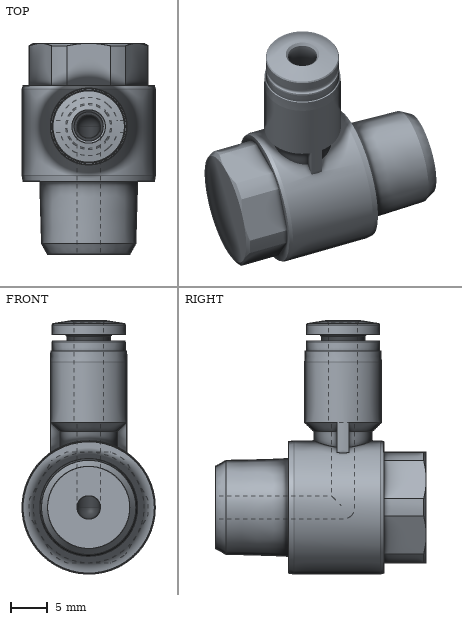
import cadquery as cq
import math


HEX_BACK = 11.35
COLLAR_BACK = 5.57
COLLAR_FRONT = -7.47
STEM_FRONT = -17.45

COLLAR_RADIUS = 18.2 / 2
COLLAR_FACE_RADIUS = COLLAR_RADIUS - 0.15
COLLAR_BACK_BEVEL = 0.5
COLLAR_FRONT_BEVEL = 0.8

STEM_ROOT_RADIUS = 6.68
STEM_TIP_RADIUS = 6.45
STEM_FACE_RADIUS = 5.6
STEM_BEVEL_LENGTH = 1.5

HEX_ACROSS_FLATS = 15.12
HEX_CORNER_RADIUS = 8.13
HEX_BEVEL_LENGTH = 0.35
HEX_BACK_RADIUS = HEX_ACROSS_FLATS / 2

NECK_TOP = 10.38
SLEEVE_BOTTOM = 11.6
SLEEVE_BAND = 19.83
SLEEVE_TOP = 21.35
RING_TOP = 22.73
CAP_BOTTOM = 23.6
CAP_EDGE = 24.9
CAP_SHOULDER = 25.1
CAP_TOP = 34.6 - COLLAR_RADIUS

NECK_RADIUS = 3.98
SLEEVE_RADIUS = 10.5 / 2
SLEEVE_BAND_TAPER = 0.07
RING_RADIUS = 10.0 / 2
RING_TOP_RADIUS = 9.9 / 2
RING_BEVEL_LENGTH = 0.2
CAP_RADIUS = 10.0 / 2
CAP_SHOULDER_RADIUS = 4.88
RELEASE_NECK_RADIUS = 5.95 / 2
RELEASE_NECK_FLARE = 0.17
RELEASE_NECK_FLARE_LENGTH = 0.28

RIB_THICKNESS = 1.6

FLOW_RADIUS = 3.2 / 2
TUBE_RADIUS = 3.98 / 2
TUBE_MOUTH_RADIUS = 4.55 / 2
TUBE_MOUTH_DEPTH = 0.35
TUBE_STOP = SLEEVE_BOTTOM


def turned(profile, axis):
    """Revolve (radius, height) points about the Y or Z axis, closing the outline on that axis."""
    outline = [(0, profile[0][1])] + profile + [(0, profile[-1][1])]
    plane = "XY" if axis == "Y" else "XZ"
    return cq.Workplane(plane).polyline(outline).close().revolve(360, (0, 0), (0, 1))


def make_collar_and_stem():
    return turned([
        (STEM_FACE_RADIUS, STEM_FRONT),
        (STEM_TIP_RADIUS, STEM_FRONT + STEM_BEVEL_LENGTH),
        (STEM_ROOT_RADIUS, COLLAR_FRONT),
        (COLLAR_FACE_RADIUS, COLLAR_FRONT),
        (COLLAR_RADIUS, COLLAR_FRONT + COLLAR_FRONT_BEVEL),
        (COLLAR_RADIUS, COLLAR_BACK - COLLAR_BACK_BEVEL),
        (COLLAR_FACE_RADIUS, COLLAR_BACK),
    ], "Y")


def make_hexagon():
    across_corners = HEX_ACROSS_FLATS / math.cos(math.radians(30))
    prism = (
        cq.Workplane("XZ", origin=(0, HEX_BACK, 0))
        .polygon(6, across_corners)
        .extrude(HEX_BACK - COLLAR_BACK)
    )
    corner_limit = turned([
        (HEX_CORNER_RADIUS, COLLAR_BACK),
        (HEX_CORNER_RADIUS, HEX_BACK - HEX_BEVEL_LENGTH),
        (HEX_BACK_RADIUS, HEX_BACK),
    ], "Y")
    return prism.intersect(corner_limit)


def make_tube_socket():
    return turned([
        (NECK_RADIUS, 0),
        (NECK_RADIUS, NECK_TOP),
        (SLEEVE_RADIUS, SLEEVE_BOTTOM),
        (SLEEVE_RADIUS, SLEEVE_BAND),
        (SLEEVE_RADIUS - SLEEVE_BAND_TAPER, SLEEVE_TOP),
        (RING_RADIUS, SLEEVE_TOP),
        (RING_RADIUS, RING_TOP - RING_BEVEL_LENGTH),
        (RING_TOP_RADIUS, RING_TOP),
        (RELEASE_NECK_RADIUS, RING_TOP),
        (RELEASE_NECK_RADIUS, CAP_BOTTOM - RELEASE_NECK_FLARE_LENGTH),
        (RELEASE_NECK_RADIUS + RELEASE_NECK_FLARE, CAP_BOTTOM),
        (CAP_RADIUS, CAP_BOTTOM),
        (CAP_RADIUS, CAP_EDGE),
        (CAP_SHOULDER_RADIUS, CAP_SHOULDER),
        (TUBE_MOUTH_RADIUS, CAP_TOP),
    ], "Z")


def make_ribs():
    """One plate through the neck forms both ribs, flush with the sleeve at their outer edges."""
    plate = (
        cq.Workplane("XY")
        .rect(2 * COLLAR_RADIUS, RIB_THICKNESS)
        .extrude(SLEEVE_BOTTOM)
    )
    sleeve_limit = cq.Workplane("XY").circle(SLEEVE_RADIUS).extrude(SLEEVE_BOTTOM)
    return plate.intersect(sleeve_limit)


def make_passages():
    """Stepped tube bore turning into the stem bore through a spherical elbow."""
    tube_bore = turned([
        (FLOW_RADIUS, 0),
        (FLOW_RADIUS, TUBE_STOP),
        (TUBE_RADIUS, TUBE_STOP),
        (TUBE_RADIUS, CAP_TOP - TUBE_MOUTH_DEPTH),
        (TUBE_MOUTH_RADIUS, CAP_TOP),
    ], "Z")
    stem_bore = cq.Workplane("XZ").circle(FLOW_RADIUS).extrude(-STEM_FRONT)
    elbow = cq.Workplane("XY").sphere(FLOW_RADIUS)
    return tube_bore.union(stem_bore).union(elbow)


body = make_collar_and_stem().union(make_hexagon())
body = body.union(make_tube_socket()).union(make_ribs())
result = body.cut(make_passages())